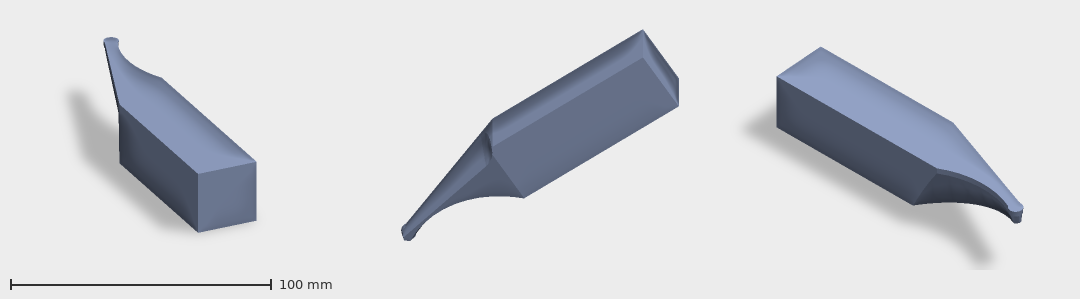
import cadquery as cq
import math

length = 125.0
section = 25.0
wall_start_x = 55.9
wall_angle = 20.0

insert_radius = 3.0
insert_thickness = 2.5
insert_relief = 5.0
tip_x = insert_radius
tip_y = -insert_radius
seat_z = section - insert_thickness

back_center_x = 22.0
back_center_y = 35.0
back_radius = 40.0
back_cone_angle = 18.0
neck_back_x = 4.2

relief_angle = 10.0
relief_inset = 0.06
relief_end_x = 48.8
relief_runout_radius = 11.2
relief_runout_turn = 70.0

nose_radius = 2.6
nose_taper = 6.0
nose_end_x = 1.8
facet_x = 0.5
facet_y = -2.2
facet_angle = 30.0

underside_end_x = 54.0
underside_angle = 19.0

clearance = 12.5

wall_slope = math.tan(math.radians(wall_angle))
relief_slope = math.tan(math.radians(relief_angle))


def wall_y(x):
    """Y of the slanted side wall at a given X."""
    return -section + (wall_start_x - x) * wall_slope


def back_y(x):
    """Y of the concave back at a given X, at and above the seat."""
    return back_center_y - math.sqrt(back_radius**2 - (x - back_center_x)**2)


def downward_cone(x, y, top_z, top_radius, bottom_radius, height):
    """Cone frustum whose upper face lies at top_z."""
    return cq.Workplane(cq.Solid.makeCone(
        top_radius, bottom_radius, height,
        pnt=cq.Vector(x, y, top_z), dir=cq.Vector(0, 0, -1)))


def sheared_prism(outline, shift_x, shift_y):
    """Sweep a wire at the seat level straight down to the base plane, with a sideways shift."""
    return cq.Workplane(cq.Solid.extrudeLinear(
        outline.val(), [], cq.Vector(shift_x, shift_y, -seat_z)))


def make_insert():
    bottom_radius = insert_radius - insert_thickness * math.tan(math.radians(insert_relief))
    return downward_cone(tip_x, tip_y, section, insert_radius, bottom_radius, insert_thickness)


def upper_blank():
    """Layer beside the insert, bounded by the upright side wall and the concave back."""
    back_end_x = back_center_x + math.sqrt(back_radius**2 - back_center_y**2)
    return (
        cq.Workplane("XY", origin=(0, 0, seat_z))
        .moveTo(tip_x, tip_y)
        .lineTo(tip_x, wall_y(tip_x))
        .lineTo(wall_start_x, -section)
        .lineTo(length, -section)
        .lineTo(length, 0)
        .lineTo(back_end_x, 0)
        .threePointArc((back_center_x, back_y(back_center_x)), (neck_back_x, back_y(neck_back_x)))
        .close()
        .extrude(insert_thickness)
    )


def lower_blank():
    """Layer below the seat, with only the upright side wall cut."""
    return (
        cq.Workplane("XY")
        .polyline([(0, 0), (0, wall_y(0)), (wall_start_x, -section), (length, -section), (length, 0)])
        .close()
        .extrude(seat_z)
    )


def back_cutter():
    bottom_radius = back_radius + seat_z * math.tan(math.radians(back_cone_angle))
    return downward_cone(back_center_x, back_center_y, seat_z, back_radius, bottom_radius, seat_z)


def side_relief_cutter():
    """Tilted flat relief under the side wall, with a concave round end."""
    def relief_y(x):
        return wall_y(x) + relief_inset

    def runout_point(turn):
        """Point on the round end after turning away from the flat by turn degrees."""
        start = math.radians(wall_angle)
        heading = math.radians(wall_angle + turn)
        x = relief_end_x + relief_runout_radius * (math.sin(heading) - math.sin(start))
        y = relief_y(relief_end_x) - relief_runout_radius * (math.cos(start) - math.cos(heading))
        return x, y

    end_x, end_y = runout_point(relief_runout_turn)
    low_y = -section - clearance
    outline = (
        cq.Workplane("XY", origin=(0, 0, seat_z))
        .moveTo(-clearance, relief_y(-clearance))
        .lineTo(relief_end_x, relief_y(relief_end_x))
        .threePointArc(runout_point(relief_runout_turn / 2), (end_x, end_y))
        .lineTo(end_x, low_y)
        .lineTo(-clearance, low_y)
        .close()
        .wire()
    )
    return sheared_prism(outline, 0, seat_z * relief_slope)


def facet_cutter():
    """Tilted flat on the back corner of the nose."""
    angle = math.radians(facet_angle)
    along = (math.cos(angle) * clearance, math.sin(angle) * clearance)
    out = (-math.sin(angle) * clearance, math.cos(angle) * clearance)
    outline = (
        cq.Workplane("XY", origin=(0, 0, seat_z))
        .polyline([
            (facet_x - along[0], facet_y - along[1]),
            (facet_x + along[0], facet_y + along[1]),
            (facet_x + along[0] + out[0], facet_y + along[1] + out[1]),
            (facet_x - along[0] + out[0], facet_y - along[1] + out[1]),
        ])
        .close()
        .wire()
    )
    shift = seat_z * relief_slope
    return sheared_prism(outline, math.sin(angle) * shift, -math.cos(angle) * shift)


def nose_cutter():
    """Material around the tapered round nose."""
    bottom_radius = nose_radius - seat_z * math.tan(math.radians(nose_taper))
    nose = downward_cone(tip_x, tip_y, seat_z, nose_radius, bottom_radius, seat_z)
    block = cq.Workplane("XY").box(nose_end_x, section, seat_z, centered=False)
    return block.translate((0, -section, 0)).cut(nose)


def underside_cutter():
    rise = (underside_end_x + clearance) * math.tan(math.radians(underside_angle))
    return (
        cq.Workplane("XZ")
        .polyline([(underside_end_x, 0), (-clearance, 0), (-clearance, rise)])
        .close()
        .extrude(section)
    )


def make_holder(insert):
    lower = lower_blank().cut(underside_cutter())
    for cutter in (back_cutter(), side_relief_cutter(), nose_cutter(), facet_cutter()):
        lower = lower.cut(cutter)
    return upper_blank().cut(insert).union(lower)


insert = make_insert()
holder = make_holder(insert)

result = cq.Compound.makeCompound([*holder.solids().vals(), insert.val()])